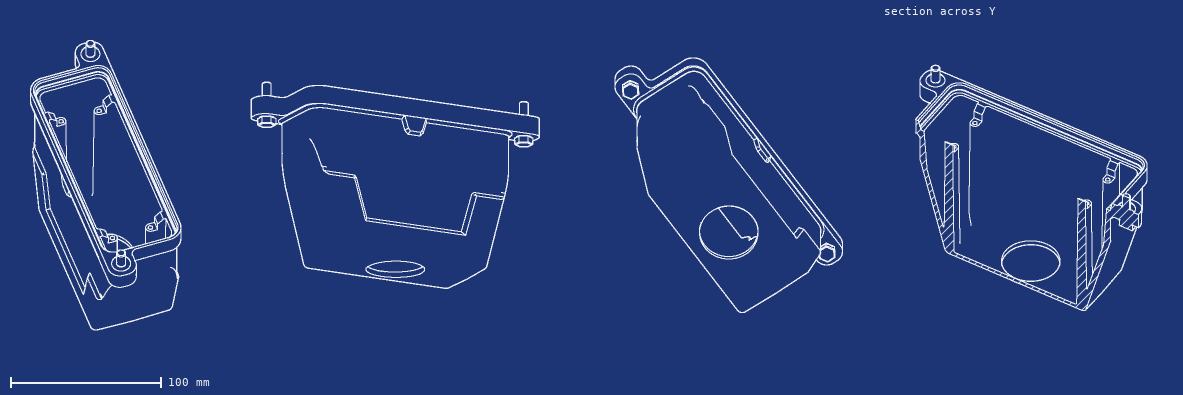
import cadquery as cq
import math

BOTTOM_Z = 0.0
FLANGE_BOTTOM_Z = 98.5
FLANGE_TOP_Z = 111.0
STUD_TOP_Z = 122.7

BODY_HALF_X = 75.3
BODY_HALF_Y = 26.7
BODY_CORNER_R = 9.0
KNEE_Z = 76.1
FOOT_HALF_X = 55.0
ENVELOPE_HALF_Y = 29.0
PARTING_DRAFT = 1.0
ENVELOPE_EDGE_R = 4.0

PANEL_TOP_Z = 50.0
NOTCH_FLOOR_Z = 21.5
NOTCH_TOP_HALF_X = 46.0
NOTCH_FLOOR_HALF_X = 37.7
PANEL_STEP = ENVELOPE_HALF_Y - BODY_HALF_Y
PANEL_BEVEL_WIDTH = 2.8
PANEL_BEVEL_ANGLE = math.degrees(math.atan(PANEL_BEVEL_WIDTH / PANEL_STEP))

LUG_HEIGHT = 2.1
LUG_TOP_HALF_X = 10.0
LUG_CORNER_HALF_X = 7.0
LUG_CORNER_Z = 89.0
LUG_BOTTOM_HALF_X = 4.6
LUG_BOTTOM_Z = 86.5
LUG_BEVEL_ANGLE = 43.0

FLANGE_HALF_X = 78.2
FLANGE_CORNER_R = 11.0
FLARE_HEIGHT = 2.2
FLARE_ANGLE = 42.0
EAR_TIP_X = 96.5
EAR_WIDTH = 19.2
EAR_CORNER_R = 8.0
EAR_ROOT_R = 4.0

SCREW_X = 86.6
SCREW_Y = 19.4
SCREW_D = 6.0
SCREW_TIP_CHAMFER = 0.6
BEAD_OUTER_D = 12.6
COLLAR_D = 10.0
COLLAR_HEIGHT = 0.5
HEAD_FLATS = 10.5
HEAD_BOTTOM_Z = 93.2
HEAD_CHAMFER = 0.6

FLOOR_Z = 4.0
CAVITY_HALF_X = 71.8
CAVITY_HALF_Y = 23.2
CAVITY_CORNER_R = 6.0
CAVITY_DRAFT = 0.9
CAVITY_KNEE_HALF_X = 69.6
CAVITY_KNEE_Z = 69.0
CAVITY_FLOOR_HALF_X = 52.5
CAVITY_FLOOR_FILLET = 1.0
CABLE_HOLE_D = 39.0

SEAT_TOP_INSET = 1.9
SEAT_CHAMFER_DEPTH = 1.2
SEAT_CHAMFER_WIDTH = 0.9
SEAT_WALL_DEPTH = 4.8
SEAT_WALL_LEAN = 0.5
LEDGE_WIDTH = 0.5
LEDGE_STEP = 2.6
CAVITY_TOP_Z = FLANGE_TOP_Z - SEAT_WALL_DEPTH - LEDGE_STEP

POST_X = 52.0
POST_Y = 13.4
POST_R = 3.2
POST_TOP_Z = 94.0
POST_DRAFT = 0.6
POST_HOLE_D = 3.0
POST_HOLE_DEPTH = 15.0
RIB_FRONT_Y = 17.4
RIB_FRONT_Z = 100.0
RIB_BACK_Y = 21.4
POST_WALL_FILLET = 1.5
POST_WALL_COVER = 1.0


def rounded_block(half_x, half_y, radius, z, height, taper=0.0):
    """Rounded rectangle extruded from z; a negative height goes downward."""
    sketch = cq.Sketch().rect(2 * half_x, 2 * half_y).vertices().fillet(radius)
    return cq.Workplane("XY", origin=(0, 0, z)).placeSketch(sketch).extrude(height, taper=taper)


def both_sides(solid):
    """The solid together with its mirror image across the Y = 0 plane."""
    return solid.union(solid.mirror("XZ"))


def make_envelope():
    """Outer limits of the hood: leaning end walls drafted from the parting plane."""
    half = (
        cq.Workplane("XZ")
        .polyline([
            (-FOOT_HALF_X, BOTTOM_Z), (FOOT_HALF_X, BOTTOM_Z),
            (BODY_HALF_X, KNEE_Z), (BODY_HALF_X, FLANGE_TOP_Z),
            (-BODY_HALF_X, FLANGE_TOP_Z), (-BODY_HALF_X, KNEE_Z),
        ])
        .close()
        .extrude(ENVELOPE_HALF_Y, taper=PARTING_DRAFT)
    )
    side_face_edges = half.faces("<Y").edges("not(>Z)")
    bottom_edges = half.faces("<Z").edges("not(|X)")
    half = side_face_edges.add(bottom_edges).fillet(ENVELOPE_EDGE_R)
    return both_sides(half)


def make_core():
    """Upright hood body with round corners and end walls drafted from the parting plane."""
    height = FLANGE_TOP_Z - BOTTOM_Z
    half = (
        cq.Workplane("XZ", origin=(0, 0, BOTTOM_Z + height / 2))
        .rect(2 * BODY_HALF_X, height)
        .extrude(BODY_HALF_Y, taper=PARTING_DRAFT)
    )
    half = half.faces("<Y").edges("not(|X)").fillet(BODY_CORNER_R)
    return both_sides(half)


def make_panels():
    """Slab that thickens the lower hood, stepped back above a notched bevel line."""
    height = PANEL_TOP_Z + 2 * PANEL_BEVEL_WIDTH
    slab = cq.Workplane("XY").box(
        2 * BODY_HALF_X, 2 * ENVELOPE_HALF_Y, height, centered=(True, True, False)
    )
    clear_x = 1.5 * BODY_HALF_X
    step_back = (
        cq.Workplane("XZ", origin=(0, -ENVELOPE_HALF_Y, 0))
        .polyline([
            (-clear_x, FLANGE_TOP_Z), (-clear_x, PANEL_TOP_Z),
            (-NOTCH_TOP_HALF_X, PANEL_TOP_Z), (-NOTCH_FLOOR_HALF_X, NOTCH_FLOOR_Z),
            (NOTCH_FLOOR_HALF_X, NOTCH_FLOOR_Z), (NOTCH_TOP_HALF_X, PANEL_TOP_Z),
            (clear_x, PANEL_TOP_Z), (clear_x, FLANGE_TOP_Z),
        ])
        .close()
        .extrude(-PANEL_STEP, taper=PANEL_BEVEL_ANGLE)
    )
    return slab.cut(both_sides(step_back))


def make_lugs():
    """Bevelled lug at the middle of each long side, running up into the flange."""
    side_slope = (LUG_TOP_HALF_X - LUG_CORNER_HALF_X) / (FLANGE_BOTTOM_Z - LUG_CORNER_Z)
    root_z = FLANGE_BOTTOM_Z + 2 * LUG_HEIGHT
    root_half_x = LUG_TOP_HALF_X + side_slope * (root_z - FLANGE_BOTTOM_Z)
    lug = (
        cq.Workplane("XZ", origin=(0, -BODY_HALF_Y, 0))
        .polyline([
            (-root_half_x, root_z), (-LUG_CORNER_HALF_X, LUG_CORNER_Z),
            (-LUG_BOTTOM_HALF_X, LUG_BOTTOM_Z), (LUG_BOTTOM_HALF_X, LUG_BOTTOM_Z),
            (LUG_CORNER_HALF_X, LUG_CORNER_Z), (root_half_x, root_z),
        ])
        .close()
        .extrude(LUG_HEIGHT, taper=LUG_BEVEL_ANGLE)
    )
    return both_sides(lug)


def make_flange():
    """Rounded frame with one ear at (-X, +Y) and one at (+X, -Y)."""
    height = FLANGE_TOP_Z - FLANGE_BOTTOM_Z
    frame = rounded_block(FLANGE_HALF_X, ENVELOPE_HALF_Y, FLANGE_CORNER_R, FLANGE_BOTTOM_Z, height)
    root_y = ENVELOPE_HALF_Y - EAR_WIDTH
    inner_x = FLANGE_HALF_X - FLANGE_CORNER_R
    ear = (
        cq.Workplane("XY", origin=(0, 0, FLANGE_BOTTOM_Z))
        .moveTo(-inner_x, ENVELOPE_HALF_Y)
        .lineTo(-EAR_TIP_X + EAR_CORNER_R, ENVELOPE_HALF_Y)
        .radiusArc((-EAR_TIP_X, ENVELOPE_HALF_Y - EAR_CORNER_R), -EAR_CORNER_R)
        .lineTo(-EAR_TIP_X, root_y + EAR_CORNER_R)
        .radiusArc((-EAR_TIP_X + EAR_CORNER_R, root_y), -EAR_CORNER_R)
        .lineTo(-FLANGE_HALF_X - EAR_ROOT_R, root_y)
        .radiusArc((-FLANGE_HALF_X, root_y - EAR_ROOT_R), EAR_ROOT_R)
        .lineTo(-inner_x, root_y - EAR_ROOT_R)
        .close()
        .extrude(height)
    )
    opposite_ear = ear.rotate((0, 0, 0), (0, 0, 1), 180)
    flare = rounded_block(
        BODY_HALF_X, BODY_HALF_Y, BODY_CORNER_R,
        FLANGE_BOTTOM_Z - FLARE_HEIGHT, FLARE_HEIGHT, -FLARE_ANGLE,
    )
    return frame.union(ear).union(opposite_ear).union(flare)


def make_cavity():
    """Drafted pocket with leaning end walls, leaving the four posts standing in it."""
    height = CAVITY_TOP_Z - FLOOR_Z
    pocket = (
        cq.Workplane("XY", origin=(0, 0, CAVITY_TOP_Z))
        .rect(4 * CAVITY_HALF_X, 2 * CAVITY_HALF_Y)
        .extrude(-height, taper=CAVITY_DRAFT)
    )
    side_profile = (
        cq.Workplane("XZ")
        .polyline([
            (-CAVITY_FLOOR_HALF_X, FLOOR_Z), (CAVITY_FLOOR_HALF_X, FLOOR_Z),
            (CAVITY_KNEE_HALF_X, CAVITY_KNEE_Z), (CAVITY_HALF_X, CAVITY_TOP_Z),
            (-CAVITY_HALF_X, CAVITY_TOP_Z), (-CAVITY_KNEE_HALF_X, CAVITY_KNEE_Z),
        ])
        .close()
        .extrude(ENVELOPE_HALF_Y, both=True)
    )
    cavity = pocket.intersect(side_profile)
    cavity = cavity.edges("not(|X or |Y)").fillet(CAVITY_CORNER_R)
    cavity = cavity.cut(make_posts())
    for x_side in (-1, 1):
        for y_side in (-1, 1):
            cavity = cavity.edges(post_wall_corner(x_side, y_side)).fillet(POST_WALL_FILLET)
    return cavity.faces("<Z").edges().fillet(CAVITY_FLOOR_FILLET)


def post_wall_corner(x_side, y_side):
    """Selector for the upright edges between a post's inner flank and the cavity side wall."""
    flank_x = x_side * (POST_X - POST_R)
    wall_y = y_side * CAVITY_HALF_Y
    reach = 0.5 * POST_R
    middle_z = (FLOOR_Z + CAVITY_TOP_Z) / 2
    return cq.selectors.BoxSelector(
        (flank_x - reach, wall_y - reach, middle_z - reach),
        (flank_x + reach, wall_y + reach, CAVITY_TOP_Z - reach),
    )


def make_seal_seat():
    """Chamfered mouth, leaning wall and a two-level ledge, each inset from the one above."""
    def layer(inset, depth, height, lean=0.0):
        return rounded_block(
            FLANGE_HALF_X - inset, ENVELOPE_HALF_Y - inset, FLANGE_CORNER_R - inset,
            FLANGE_TOP_Z - depth, -height, math.degrees(math.atan(lean / height)),
        )

    wall_inset = SEAT_TOP_INSET + SEAT_CHAMFER_WIDTH
    wall_height = SEAT_WALL_DEPTH - SEAT_CHAMFER_DEPTH
    ledge_inset = wall_inset + SEAT_WALL_LEAN + LEDGE_WIDTH
    mouth = layer(SEAT_TOP_INSET, 0, SEAT_CHAMFER_DEPTH, SEAT_CHAMFER_WIDTH)
    wall = layer(wall_inset, SEAT_CHAMFER_DEPTH, wall_height, SEAT_WALL_LEAN)
    lower_ledge = layer(ledge_inset, SEAT_WALL_DEPTH, LEDGE_STEP)
    return mouth.union(wall).union(lower_ledge)


def make_post():
    """Screw post at (+X, -Y) with a sloped rib tying it to the side wall."""
    depth = POST_TOP_Z - FLOOR_Z
    wall_y = BODY_HALF_Y - POST_WALL_COVER
    nose = (
        cq.Workplane("XY", origin=(POST_X, -POST_Y, POST_TOP_Z))
        .circle(POST_R)
        .extrude(-depth, taper=-POST_DRAFT)
    )
    web = (
        cq.Workplane("XY", origin=(POST_X, -(POST_Y + wall_y) / 2, POST_TOP_Z))
        .rect(2 * POST_R, wall_y - POST_Y)
        .extrude(-depth, taper=-POST_DRAFT)
    )
    rib = (
        cq.Workplane("YZ", origin=(POST_X, 0, 0))
        .polyline([
            (-RIB_FRONT_Y, POST_TOP_Z), (-RIB_FRONT_Y, RIB_FRONT_Z), (-RIB_BACK_Y, CAVITY_TOP_Z),
            (-wall_y, CAVITY_TOP_Z), (-wall_y, POST_TOP_Z),
        ])
        .close()
        .extrude(POST_R, both=True)
    )
    hole = (
        cq.Workplane("XY", origin=(POST_X, -POST_Y, POST_TOP_Z))
        .circle(POST_HOLE_D / 2)
        .extrude(-POST_HOLE_DEPTH)
    )
    return nose.union(web).union(rib).cut(hole)


def make_posts():
    """The four posts, mirrored about both centre planes."""
    pair = both_sides(make_post())
    return pair.union(pair.mirror("YZ"))


def make_screw(x, y):
    """Hex-head screw running up through an ear, with a round sealing bead on top."""
    head_top_z = FLANGE_BOTTOM_Z - COLLAR_HEIGHT
    head = (
        cq.Workplane("XY", origin=(x, y, HEAD_BOTTOM_Z))
        .polygon(6, HEAD_FLATS, circumscribed=True)
        .extrude(head_top_z - HEAD_BOTTOM_Z)
        .faces("<Z")
        .chamfer(HEAD_CHAMFER)
    )
    collar = cq.Workplane("XY", origin=(x, y, head_top_z)).circle(COLLAR_D / 2).extrude(COLLAR_HEIGHT)
    stud = (
        cq.Workplane("XY", origin=(x, y, head_top_z))
        .circle(SCREW_D / 2)
        .extrude(STUD_TOP_Z - head_top_z)
        .faces(">Z")
        .chamfer(SCREW_TIP_CHAMFER)
    )
    bead_r = (BEAD_OUTER_D - SCREW_D) / 4
    bead_centre_r = SCREW_D / 2 + bead_r
    bead = cq.Workplane("XY").add(
        cq.Solid.makeTorus(bead_centre_r, bead_r, cq.Vector(x, y, FLANGE_TOP_Z))
    )
    return head.union(collar).union(stud).union(bead)


hood = make_core().union(make_panels()).intersect(make_envelope())
hood = hood.union(make_lugs()).union(make_flange())

hood = hood.cut(make_cavity()).cut(make_seal_seat())
cable_hole = cq.Workplane("XY").circle(CABLE_HOLE_D / 2).extrude(2 * FLOOR_Z)
hood = hood.cut(cable_hole)

result = (
    hood
    .union(make_screw(-SCREW_X, SCREW_Y))
    .union(make_screw(SCREW_X, -SCREW_Y))
)